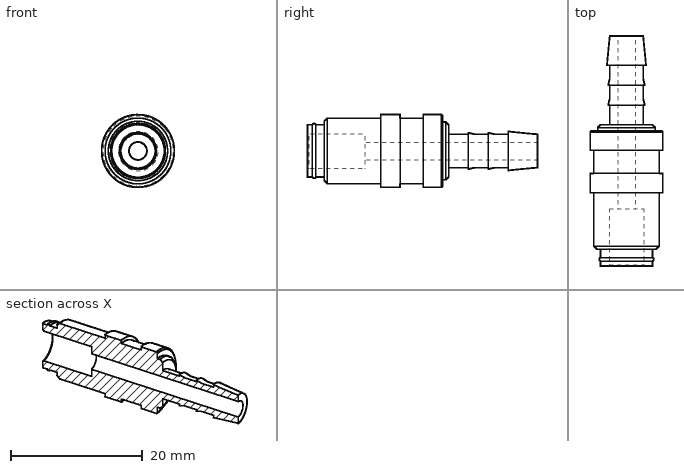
import cadquery as cq

total_length = 35.0

nose_diameter = 7.98
bead_diameter = 8.35
bead_start = 0.77
bead_width = 0.52

body_diameter = 10.0
body_start = 2.55
body_chamfer = 0.5

ring_diameter = 11.1
ring_width = 2.98
front_ring_start = 11.13
rear_ring_start = 17.6
rear_ring_chamfer = 0.2

collar_diameter = 8.82
collar_end = 21.5
collar_chamfer = 0.45

stem_diameter = 5.1
small_barb_diameter = 5.6
small_barb_length = 1.0
small_barb_starts = [24.45, 27.5]
tip_diameter = 6.0
tip_start = 30.52

through_diameter = 2.7
socket_diameter = 5.2
socket_depth = 8.75
socket_chamfer = 0.2


def cylinder(diameter, start, end):
    """Solid cylinder about the Y axis between two axial positions."""
    base = cq.Workplane("XZ", origin=(0, start, 0))
    return base.circle(diameter / 2).extrude(start - end)


def cone(start_diameter, end_diameter, start, end):
    """Solid frustum about the Y axis between two axial positions."""
    profile = (
        cq.Workplane("XY")
        .moveTo(0, start)
        .lineTo(start_diameter / 2, start)
        .lineTo(end_diameter / 2, end)
        .lineTo(0, end)
        .close()
    )
    return profile.revolve(360, (0, 0, 0), (0, 1, 0))


def retaining_bead():
    """Nose-sized disc with a bulging rim."""
    bead_end = bead_start + bead_width
    profile = (
        cq.Workplane("XY")
        .moveTo(0, bead_start)
        .lineTo(nose_diameter / 2, bead_start)
        .threePointArc((bead_diameter / 2, bead_start + bead_width / 2), (nose_diameter / 2, bead_end))
        .lineTo(0, bead_end)
        .close()
    )
    return profile.revolve(360, (0, 0, 0), (0, 1, 0))


rear_ring_end = rear_ring_start + ring_width

nose = cylinder(nose_diameter, 0, body_start)
body = cylinder(body_diameter, body_start, rear_ring_start).faces("<Y").chamfer(body_chamfer)
front_ring = cylinder(ring_diameter, front_ring_start, front_ring_start + ring_width)
rear_ring = cylinder(ring_diameter, rear_ring_start, rear_ring_end).faces(">Y").chamfer(rear_ring_chamfer)
collar = cylinder(collar_diameter, rear_ring_end, collar_end).faces(">Y").chamfer(collar_chamfer)
stem = cylinder(stem_diameter, collar_end, total_length)
tip = cone(tip_diameter, stem_diameter, tip_start, total_length)

result = nose.union(retaining_bead()).union(body).union(front_ring).union(rear_ring)
result = result.union(collar).union(stem).union(tip)
for barb_start in small_barb_starts:
    barb = cone(small_barb_diameter, stem_diameter, barb_start, barb_start + small_barb_length)
    result = result.union(barb)

socket_mouth_diameter = socket_diameter + 2 * socket_chamfer
result = result.cut(cylinder(through_diameter, 0, total_length))
result = result.cut(cylinder(socket_diameter, 0, socket_depth))
result = result.cut(cone(socket_mouth_diameter, socket_diameter, 0, socket_chamfer))